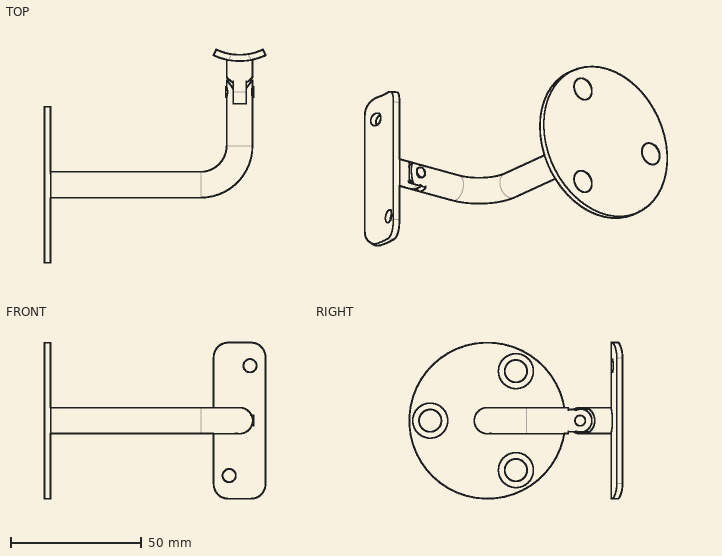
import cadquery as cq
import math

flange_diameter = 60.05
sheet_thickness = 2.5
flange_hole_count = 3
flange_hole_diameter = 8.5
flange_countersink_angle = 90
flange_hole_circle_radius = 21.95
rod_diameter = 10.0
rod_radius = rod_diameter / 2
bend_radius = 15.0
bend_start_x = 60.05
upright_x = bend_start_x + bend_radius

hinge_y = 35.6
tongue_width = rod_diameter / 2
cheek_radius = 4.5
shoulder_radius = 5.6
slot_floor_y = hinge_y - cheek_radius
pin_diameter = 4.0
pin_length = 10.7

saddle_width = 20.1
saddle_height = flange_diameter
saddle_top_y = 52.0
saddle_inner_radius = 21.2
saddle_outer_radius = saddle_inner_radius + sheet_thickness
saddle_corner_radius = 5.95
saddle_hole_diameter = 5.0
saddle_hole_offset_x = 4.0
saddle_hole_offset_z = 21.1

saddle_half_angle = math.asin(saddle_width / 2 / saddle_outer_radius)
rail_axis_y = saddle_top_y + saddle_inner_radius * math.cos(saddle_half_angle)


def hinge_cylinder(radius, length):
    """Cylinder on the hinge axis, centred on the rod."""
    return (
        cq.Workplane("YZ", origin=(upright_x, 0, 0))
        .center(hinge_y, 0)
        .circle(radius)
        .extrude(length / 2, both=True)
    )


def upright_rod(start_y, end_y):
    """Round bar along Y on the upright's centre line."""
    bar = cq.Solid.makeCylinder(
        rod_radius, end_y - start_y, cq.Vector(upright_x, start_y, 0), cq.Vector(0, 1, 0)
    )
    return cq.Workplane(bar)


def centre_slab(start_y, end_y):
    """Block as wide as the tongue, spanning the rod's full height."""
    return cq.Workplane("XY").box(tongue_width, end_y - start_y, rod_diameter).translate(
        (upright_x, (start_y + end_y) / 2, 0)
    )


def make_flange():
    """Round wall plate with screw holes that widen away from the wall."""
    taper = flange_countersink_angle / 2
    holes = (
        cq.Workplane("YZ")
        .polarArray(flange_hole_circle_radius, 180, 360, flange_hole_count)
        .circle(flange_hole_diameter / 2)
        .extrude(sheet_thickness, taper=-taper)
    )
    return cq.Workplane("YZ").circle(flange_diameter / 2).extrude(sheet_thickness).cut(holes)


def make_bent_rod():
    path = (
        cq.Workplane("XY")
        .moveTo(sheet_thickness, 0)
        .lineTo(bend_start_x, 0)
        .tangentArcPoint((upright_x, bend_radius), relative=False)
        .lineTo(upright_x, hinge_y)
    )
    return cq.Workplane("YZ", origin=(sheet_thickness, 0, 0)).circle(rod_radius).sweep(path)


def make_arm():
    """Flange, rod and fork, with the hinge pin hole through both cheeks."""
    cheek_tips = hinge_cylinder(cheek_radius, rod_diameter).intersect(
        upright_rod(bend_radius, hinge_y + cheek_radius)
    )
    slot = centre_slab(slot_floor_y, hinge_y + cheek_radius)
    pin_hole = hinge_cylinder(pin_diameter / 2, pin_length)
    return make_flange().union(make_bent_rod()).union(cheek_tips).cut(slot).cut(pin_hole)


def make_saddle_plate():
    def arc_point(radius, angle):
        return (upright_x + radius * math.sin(angle), rail_axis_y - radius * math.cos(angle))

    plate = (
        cq.Workplane("XY")
        .moveTo(*arc_point(saddle_outer_radius, -saddle_half_angle))
        .threePointArc(
            arc_point(saddle_outer_radius, 0), arc_point(saddle_outer_radius, saddle_half_angle)
        )
        .lineTo(*arc_point(saddle_inner_radius, saddle_half_angle))
        .threePointArc(
            arc_point(saddle_inner_radius, 0), arc_point(saddle_inner_radius, -saddle_half_angle)
        )
        .close()
        .extrude(saddle_height / 2, both=True)
    )
    plate = plate.faces("|Z").edges("%LINE").edges("not |Z")
    return plate.fillet(saddle_corner_radius)


def make_saddle_holes():
    """Two screw holes along Y, diagonally opposite each other."""
    holes = cq.Workplane("XZ", origin=(upright_x, 0, 0)).pushPoints(
        [
            (saddle_hole_offset_x, saddle_hole_offset_z),
            (-saddle_hole_offset_x, -saddle_hole_offset_z),
        ]
    )
    return holes.circle(saddle_hole_diameter / 2).extrude(-saddle_top_y)


def make_stem():
    """Round stem hollowed around the cheeks, leaving a ball-ended tongue between them."""
    rail_hollow = (
        cq.Workplane("XY", origin=(upright_x, rail_axis_y, 0))
        .circle(saddle_inner_radius)
        .extrude(rod_diameter, both=True)
    )
    stem = upright_rod(hinge_y, saddle_top_y).cut(rail_hollow)
    tongue_slab = centre_slab(slot_floor_y, hinge_y + shoulder_radius)
    cheek_hollow = hinge_cylinder(shoulder_radius, rod_diameter).cut(tongue_slab)
    ball_end = cq.Workplane("XY", origin=(upright_x, hinge_y, 0)).sphere(rod_radius)
    tongue_end = ball_end.intersect(tongue_slab)
    return stem.cut(cheek_hollow).union(tongue_end)


def make_saddle():
    """Handrail plate, stem and tongue, with the integral hinge pin."""
    pin = hinge_cylinder(pin_diameter / 2, pin_length)
    return make_saddle_plate().cut(make_saddle_holes()).union(make_stem()).union(pin)


arm = make_arm()
saddle = make_saddle()

result = cq.Compound.makeCompound([arm.solids().val(), saddle.solids().val()])